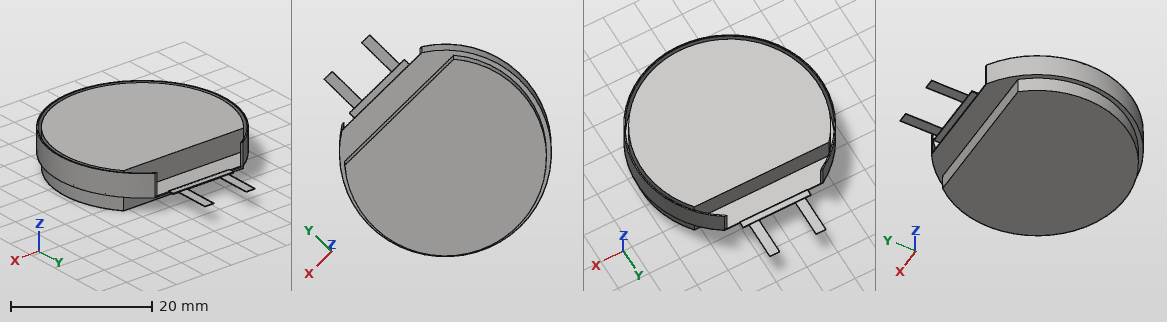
import cadquery as cq

body_radius = 14.3
body_flat_y = 9.25
body_height = 6.35

holder_radius = 15.0
holder_flat_y = 12.7
holder_bottom_z = 2.5
holder_wall = 0.2
holder_floor = 0.2
holder_top_z = body_height

strip_width = 11.0
strip_length = 1.0
strip_thickness = 0.2
strip_rise = 0.13
strip_bottom_z = holder_bottom_z + strip_rise

lead_width = 1.6
lead_spacing = 7.5
lead_length = 6.0
lead_thickness = 0.1
lead_bottom_z = strip_bottom_z + (strip_thickness - lead_thickness) / 2


def flatted_disc(radius, flat_y, bottom_z, top_z):
    """Disc about the Z axis, cut straight across at flat_y on the +Y side."""
    height = top_z - bottom_z
    disc = cq.Workplane("XY").workplane(offset=bottom_z).circle(radius).extrude(height)
    depth = flat_y + radius
    keep = cq.Workplane("XY").box(2 * radius, depth, height, centered=(True, False, False))
    return disc.intersect(keep.translate((0, -radius, bottom_z)))


def plate(center_x, start_y, bottom_z, width, length, thickness):
    """Flat rectangular plate running toward +Y from start_y."""
    blank = cq.Workplane("XY").box(width, length, thickness, centered=(True, False, False))
    return blank.translate((center_x, start_y, bottom_z))


def make_holder():
    outer = flatted_disc(holder_radius, holder_flat_y, holder_bottom_z, holder_top_z)
    cavity_radius = holder_radius - holder_wall
    cavity_bottom_z = holder_bottom_z + holder_floor
    cavity_height = holder_top_z - cavity_bottom_z
    cavity_base = cq.Workplane("XY").workplane(offset=cavity_bottom_z)
    cavity = cavity_base.circle(cavity_radius).extrude(cavity_height)
    return outer.cut(cavity)


def make_terminals():
    strip_end_y = holder_flat_y + strip_length
    terminals = plate(0, holder_flat_y, strip_bottom_z, strip_width, strip_length, strip_thickness)
    for side in (-1, 1):
        lead_x = side * lead_spacing / 2
        lead = plate(lead_x, strip_end_y, lead_bottom_z, lead_width, lead_length, lead_thickness)
        terminals = terminals.union(lead)
    return terminals


body = flatted_disc(body_radius, body_flat_y, 0, body_height)
result = body.union(make_holder()).union(make_terminals())